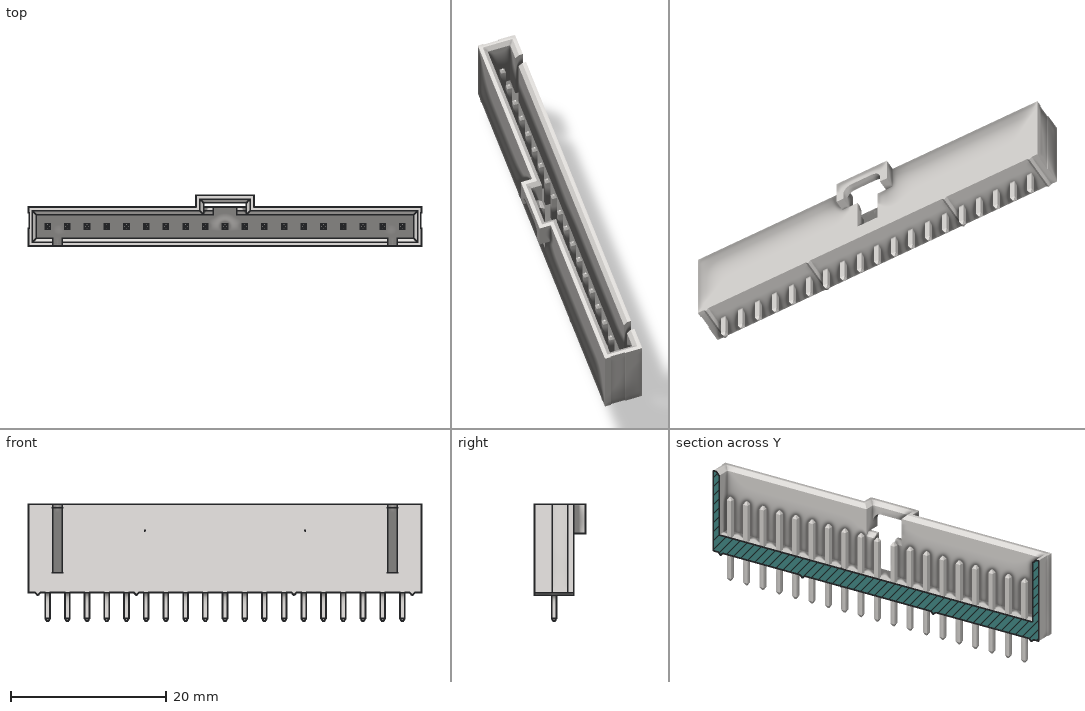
import cadquery as cq


length = 50.7
depth = 5.05
height = 11.4
wall = 1.0
rim_chamfer = 0.5
floor_thickness = 2.55

pin_count = 19
end_to_first_pin = 2.5
pin_width = 0.65
pin_tip_width = 0.2
pin_tip_length = 0.4
pin_below_housing = 3.7
pin_above_floor = 5.6

bump_width = 7.5
bump_projection = 1.5
bump_height = 3.8
arch_height = 2.3
arch_radius = 1.25

window_width = 3.0

slot_width = 1.25

groove_width = 2.0
groove_depth = 0.1
groove_center_y = 0.75

ridge_height = 0.35
ridge_places_in_pitches = [-9.5, -4.5, 3.5, 9.5]

front_y = -depth / 2
back_y = depth / 2
inner_front_y = front_y + wall
inner_back_y = back_y - wall
bump_y = back_y + bump_projection
bump_inner_y = bump_y - wall
bump_inner_width = bump_width - 2 * wall
bump_bottom_z = height - bump_height
pin_row_half = length / 2 - end_to_first_pin
pin_pitch = 2 * pin_row_half / (pin_count - 1)
slot_x = pin_row_half - pin_pitch / 2


def block(x_size, y_min, y_max, z_min, z_max):
    """Box centred on X = 0 between the given Y and Z limits."""
    return (
        cq.Workplane("XY", origin=(0, (y_min + y_max) / 2, z_min))
        .rect(x_size, y_max - y_min)
        .extrude(z_max - z_min)
    )


def flared_opening(x_size, y_min, y_max, z_min):
    """Straight-sided cutter up to the rim, flaring outward at 45 degrees just below it."""
    y_size = y_max - y_min
    flare = (
        cq.Workplane("XY", origin=(0, (y_min + y_max) / 2, height - rim_chamfer))
        .rect(x_size, y_size)
        .workplane(offset=rim_chamfer)
        .rect(x_size + 2 * rim_chamfer, y_size + 2 * rim_chamfer)
        .loft(ruled=True)
    )
    return block(x_size, y_min, y_max, z_min, height).union(flare)


def make_shell():
    """Open-topped housing with its solid keying bump and the main cavity."""
    body = block(length, front_y, back_y, 0, height)
    body = body.union(block(bump_width, inner_back_y, bump_y, bump_bottom_z, height))
    return body.cut(flared_opening(length - 2 * wall, inner_front_y, inner_back_y, floor_thickness))


def hollow_bump(body):
    """Open the bump into the cavity, leaving a chamfered ledge of +Y wall level with its underside."""
    body = body.cut(flared_opening(bump_inner_width, 0, bump_inner_y, bump_bottom_z))
    ledge_chamfer = (
        cq.Workplane("YZ", origin=(-bump_inner_width / 2, 0, 0))
        .moveTo(inner_back_y, bump_bottom_z)
        .lineTo(inner_back_y + rim_chamfer, bump_bottom_z)
        .lineTo(inner_back_y, bump_bottom_z - rim_chamfer)
        .close()
        .extrude(bump_inner_width)
    )
    return body.cut(ledge_chamfer)


def cut_bump_arch(body):
    """Round-cornered opening through the bump's outer wall, open at the underside."""
    arch_top_z = bump_bottom_z + arch_height
    arch = block(bump_inner_width, back_y, bump_y, bump_bottom_z, arch_top_z)
    return body.cut(arch.edges("|Y and >Z").fillet(arch_radius))


def cut_window(body):
    """Opening through the +Y wall down to the cavity floor."""
    return body.cut(block(window_width, 0, back_y, floor_thickness, height))


def cut_wall_slots(body):
    slot = block(slot_width, front_y, 0, floor_thickness, height)
    for side in (-1, 1):
        body = body.cut(slot.translate((side * slot_x, 0, 0)))
    return body


def cut_end_grooves(body):
    groove_y_min = groove_center_y - groove_width / 2
    groove_y_max = groove_center_y + groove_width / 2
    groove = block(2 * groove_depth, groove_y_min, groove_y_max, 0, height)
    for side in (-1, 1):
        body = body.cut(groove.translate((side * length / 2, 0, 0)))
    return body


def add_ridges(body):
    ridge = (
        cq.Workplane("XZ", origin=(0, back_y, 0))
        .moveTo(-ridge_height, 0)
        .lineTo(0, -ridge_height)
        .lineTo(ridge_height, 0)
        .close()
        .extrude(depth)
    )
    for place in ridge_places_in_pitches:
        body = body.union(ridge.translate((place * pin_pitch, 0, 0)))
    return body


def make_pin():
    """Square pin with a tapered tip at both ends."""
    shank_bottom_z = pin_tip_length - pin_below_housing
    shank_top_z = floor_thickness + pin_above_floor - pin_tip_length
    shank = block(pin_width, -pin_width / 2, pin_width / 2, shank_bottom_z, shank_top_z)
    pin = shank
    for end_face in ("<Z", ">Z"):
        tip = (
            shank.faces(end_face)
            .workplane()
            .rect(pin_width, pin_width)
            .workplane(offset=pin_tip_length)
            .rect(pin_tip_width, pin_tip_width)
            .loft(combine=False)
        )
        pin = pin.union(tip)
    return pin


def add_pins(body):
    pin = make_pin()
    for index in range(pin_count):
        body = body.union(pin.translate((index * pin_pitch - pin_row_half, 0, 0)))
    return body


result = make_shell()
result = hollow_bump(result)
result = cut_bump_arch(result)
result = cut_window(result)
result = cut_wall_slots(result)
result = cut_end_grooves(result)
result = add_ridges(result)
result = add_pins(result)